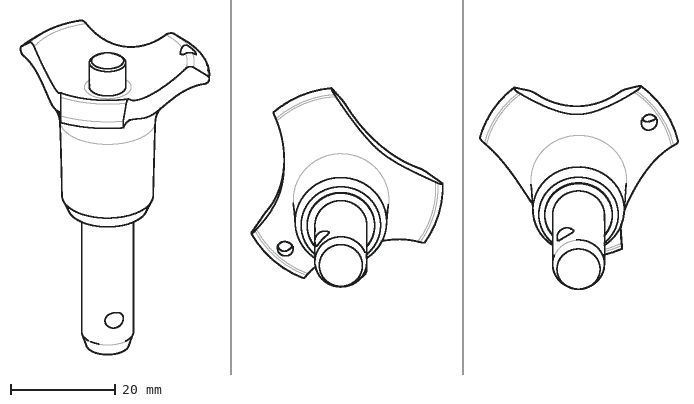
import cadquery as cq
import math


SHANK_LENGTH = 29.9
SHANK_RADIUS = 5.0
TIP_RADIUS = 4.15
TIP_LENGTH = 2.7

BALL_RADIUS = 1.9
BALL_REACH = 6.05
BALL_ABOVE_TIP = 8.0

COLLAR_RADIUS = 6.5
COLLAR_HEIGHT = 0.4
CHAMFER_BOTTOM_RADIUS = 7.65
BODY_BOTTOM_RADIUS = 8.8
BODY_TOP_RADIUS = 9.2
BODY_BOTTOM_Z = 3.0
FLARE_SPAN = 9.0
FLARE_SAGITTA = 2.4
FLARE_BULGE_ANGLE = 135.0

HEAD_RADIUS = 19.62
HEAD_TOP_Z = 33.0
RIM_BOTTOM_Z = 28.6
EDGE_ROUND = 1.0
CREST_CENTER_RADIUS = 15.95
BOWL_CENTER_Z = 48.5
BOWL_FLOOR_RADIUS = 4.5

SIDE_SCALLOP_X = 27.4
SIDE_SCALLOP_Y = 16.8
SIDE_SCALLOP_RADIUS = 20.75
FRONT_SCALLOP_EDGE_Y = -11.15
FRONT_SCALLOP_RADIUS = 47.5

LANYARD_HOLE_RADIUS = 1.5
LANYARD_HOLE_Y = 16.1

BUTTON_RADIUS = 3.5
BUTTON_BELOW_CREST = 0.2
BUTTON_CHAMFER = 0.4


def point_on_circle(center, radius, angle):
    return (center[0] + radius * math.cos(angle), center[1] + radius * math.sin(angle))


def make_handle():
    """Revolve the bowl, crest, rim, flare and body about the pin axis."""
    crest_center = (CREST_CENTER_RADIUS, HEAD_TOP_Z - EDGE_ROUND)
    rim_center = (HEAD_RADIUS - EDGE_ROUND, RIM_BOTTOM_Z + EDGE_ROUND)

    cone_normal = math.atan2(rim_center[0] - crest_center[0], crest_center[1] - rim_center[1])
    cone_top = point_on_circle(crest_center, EDGE_ROUND, cone_normal)
    cone_bottom = point_on_circle(rim_center, EDGE_ROUND, cone_normal)

    center_drop = BOWL_CENTER_Z - crest_center[1]
    bowl_radius = math.hypot(CREST_CENTER_RADIUS, center_drop) - EDGE_ROUND
    bowl_angle = math.atan2(center_drop, -CREST_CENTER_RADIUS)
    bowl_edge = point_on_circle(crest_center, EDGE_ROUND, bowl_angle)
    floor_z = BOWL_CENTER_Z - math.sqrt(bowl_radius**2 - BOWL_FLOOR_RADIUS**2)
    bowl_mid_radius = (bowl_edge[0] + BOWL_FLOOR_RADIUS) / 2
    bowl_mid_z = BOWL_CENTER_Z - math.sqrt(bowl_radius**2 - bowl_mid_radius**2)

    body_top_z = RIM_BOTTOM_Z - FLARE_SPAN
    chord_middle = (BODY_TOP_RADIUS + FLARE_SPAN / 2, RIM_BOTTOM_Z - FLARE_SPAN / 2)
    flare_middle = point_on_circle(chord_middle, FLARE_SAGITTA, math.radians(FLARE_BULGE_ANGLE))

    return (
        cq.Workplane("XZ")
        .moveTo(0, 0)
        .lineTo(COLLAR_RADIUS, 0)
        .lineTo(COLLAR_RADIUS, COLLAR_HEIGHT)
        .lineTo(CHAMFER_BOTTOM_RADIUS, COLLAR_HEIGHT)
        .lineTo(BODY_BOTTOM_RADIUS, BODY_BOTTOM_Z)
        .lineTo(BODY_TOP_RADIUS, body_top_z)
        .threePointArc(flare_middle, (BODY_TOP_RADIUS + FLARE_SPAN, RIM_BOTTOM_Z))
        .lineTo(rim_center[0], RIM_BOTTOM_Z)
        .threePointArc((HEAD_RADIUS, rim_center[1]), cone_bottom)
        .lineTo(*cone_top)
        .threePointArc((CREST_CENTER_RADIUS, HEAD_TOP_Z), bowl_edge)
        .threePointArc((bowl_mid_radius, bowl_mid_z), (BOWL_FLOOR_RADIUS, floor_z))
        .lineTo(0, floor_z)
        .close()
        .revolve(360, (0, 0, 0), (0, 1, 0))
    )


def make_vertical_cutter(x, y, radius):
    """Vertical cylinder from the collar face up to the crest."""
    return cq.Workplane("XY").center(x, y).circle(radius).extrude(HEAD_TOP_Z)


def make_shank():
    straight_length = SHANK_LENGTH - TIP_LENGTH
    return (
        cq.Workplane("XZ")
        .moveTo(0, 0)
        .lineTo(SHANK_RADIUS, 0)
        .lineTo(SHANK_RADIUS, -straight_length)
        .lineTo(TIP_RADIUS, -SHANK_LENGTH)
        .lineTo(0, -SHANK_LENGTH)
        .close()
        .revolve(360, (0, 0, 0), (0, 1, 0))
    )


def make_button():
    height = HEAD_TOP_Z - BUTTON_BELOW_CREST
    return (
        cq.Workplane("XY")
        .circle(BUTTON_RADIUS)
        .extrude(height)
        .faces(">Z")
        .chamfer(BUTTON_CHAMFER)
    )


def make_ball(side):
    ball_x = side * (BALL_REACH - BALL_RADIUS)
    ball_z = BALL_ABOVE_TIP - SHANK_LENGTH
    return cq.Workplane("XY").sphere(BALL_RADIUS).translate((ball_x, 0, ball_z))


result = make_handle()

front_scallop_y = FRONT_SCALLOP_EDGE_Y - FRONT_SCALLOP_RADIUS
result = result.cut(make_vertical_cutter(0, front_scallop_y, FRONT_SCALLOP_RADIUS))
for side in (-1, 1):
    result = result.cut(make_vertical_cutter(side * SIDE_SCALLOP_X, SIDE_SCALLOP_Y, SIDE_SCALLOP_RADIUS))

result = result.cut(make_vertical_cutter(0, LANYARD_HOLE_Y, LANYARD_HOLE_RADIUS))

result = result.union(make_shank()).union(make_button())
for side in (-1, 1):
    result = result.union(make_ball(side))